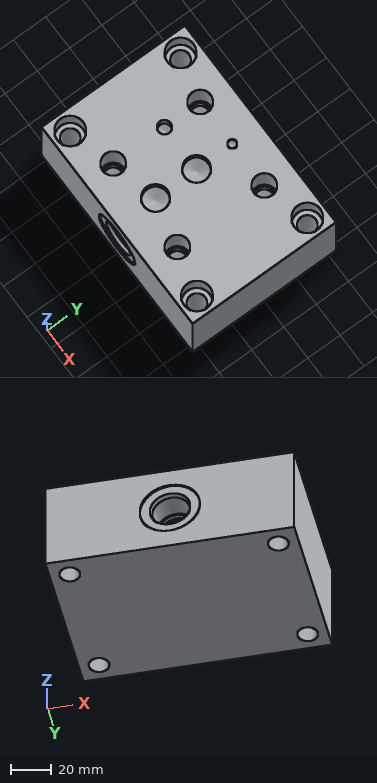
import cadquery as cq
import math

LENGTH = 127.0
WIDTH = 88.9
HEIGHT = 50.8

DRILL_POINT_ANGLE = 120.0

MOUNT_EDGE_DISTANCE = 10.3
MOUNT_DIAMETER = 10.3
MOUNT_BORE_DIAMETER = 15.9
MOUNT_BORE_DEPTH = 12.7

SCREW_OFFSET = 26.9
SCREW_DIAMETER = 12.7
SCREW_DEPTH = 20.3
TAP_DRILL_DIAMETER = 10.7
TAP_DRILL_DEPTH = 25.4

PIN_DIAMETER = 4.8
PIN_DEPTH = 1.1

FLOW_DIAMETER = 14.4
FLOW_DEPTH = 4.2
REAR_FLOW_Y = 4.8
FLOW_SPACING = 25.4
PILOT_DIAMETER = 7.5
PILOT_DEPTH = 6.4

SPOTFACE_DIAMETER = 30.6
SPOTFACE_DEPTH = 0.8
SEAL_CONE_DIAMETER = 20.6
SEAL_CONE_DEPTH = 2.3
THREAD_DIAMETER = 19.0
THREAD_DEPTH = 15.2
PORT_TAP_DRILL_DIAMETER = 17.5
PORT_TAP_DRILL_DEPTH = 17.8
PORT_DRILL_DIAMETER = 15.9
PORT_DRILL_DEPTH = 30.5


def point_length(diameter):
    """Length of the conical end left by a drill."""
    return diameter / 2 / math.tan(math.radians(DRILL_POINT_ANGLE / 2))


def bore(profile):
    """Solid of revolution about -Z from (diameter, depth) pairs that run down from Z = 0.

    The last diameter ends in a drill point.
    """
    last_diameter, last_depth = profile[-1]
    outline = [(0, 0)]
    outline += [(diameter / 2, -depth) for diameter, depth in profile]
    outline.append((0, -last_depth - point_length(last_diameter)))
    return cq.Workplane("XZ").polyline(outline).close().revolve(360, (0, 0, 0), (0, 1, 0))


def drill_top(body, tool, positions):
    """Cut one bore shape into the top face at each (x, y)."""
    for x, y in positions:
        body = body.cut(tool.translate((x, y, HEIGHT)))
    return body


def corners(x, y):
    """The four points mirrored about both centre planes."""
    return [(sx * x, sy * y) for sx in (-1, 1) for sy in (-1, 1)]


def mounting_holes(body):
    positions = corners(LENGTH / 2 - MOUNT_EDGE_DISTANCE, WIDTH / 2 - MOUNT_EDGE_DISTANCE)
    top = body.faces(">Z").workplane(origin=(0, 0, HEIGHT)).pushPoints(positions)
    return top.cboreHole(MOUNT_DIAMETER, MOUNT_BORE_DIAMETER, MOUNT_BORE_DEPTH)


def screw_holes(body):
    tool = bore([
        (SCREW_DIAMETER, 0),
        (SCREW_DIAMETER, SCREW_DEPTH),
        (TAP_DRILL_DIAMETER, SCREW_DEPTH),
        (TAP_DRILL_DIAMETER, TAP_DRILL_DEPTH),
    ])
    return drill_top(body, tool, corners(SCREW_OFFSET, SCREW_OFFSET))


def plain_holes(body):
    pin = bore([(PIN_DIAMETER, 0), (PIN_DIAMETER, PIN_DEPTH)])
    body = drill_top(body, pin, [(0, SCREW_OFFSET)])
    pilot = bore([(PILOT_DIAMETER, 0), (PILOT_DIAMETER, PILOT_DEPTH)])
    body = drill_top(body, pilot, [(-SCREW_OFFSET, REAR_FLOW_Y)])
    flow = bore([(FLOW_DIAMETER, 0), (FLOW_DIAMETER, FLOW_DEPTH)])
    return drill_top(body, flow, [(0, REAR_FLOW_Y), (0, REAR_FLOW_Y - FLOW_SPACING)])


def front_port(body):
    tool = bore([
        (SPOTFACE_DIAMETER, 0),
        (SPOTFACE_DIAMETER, SPOTFACE_DEPTH),
        (SEAL_CONE_DIAMETER, SPOTFACE_DEPTH),
        (THREAD_DIAMETER, SPOTFACE_DEPTH + SEAL_CONE_DEPTH),
        (THREAD_DIAMETER, THREAD_DEPTH),
        (PORT_TAP_DRILL_DIAMETER, THREAD_DEPTH),
        (PORT_TAP_DRILL_DIAMETER, PORT_TAP_DRILL_DEPTH),
        (PORT_DRILL_DIAMETER, PORT_TAP_DRILL_DEPTH),
        (PORT_DRILL_DIAMETER, PORT_DRILL_DEPTH),
    ])
    tool = tool.rotate((0, 0, 0), (1, 0, 0), 90)
    return body.cut(tool.translate((0, -WIDTH / 2, HEIGHT / 2)))


result = cq.Workplane("XY").box(LENGTH, WIDTH, HEIGHT, centered=(True, True, False))
result = mounting_holes(result)
result = screw_holes(result)
result = plain_holes(result)
result = front_port(result)